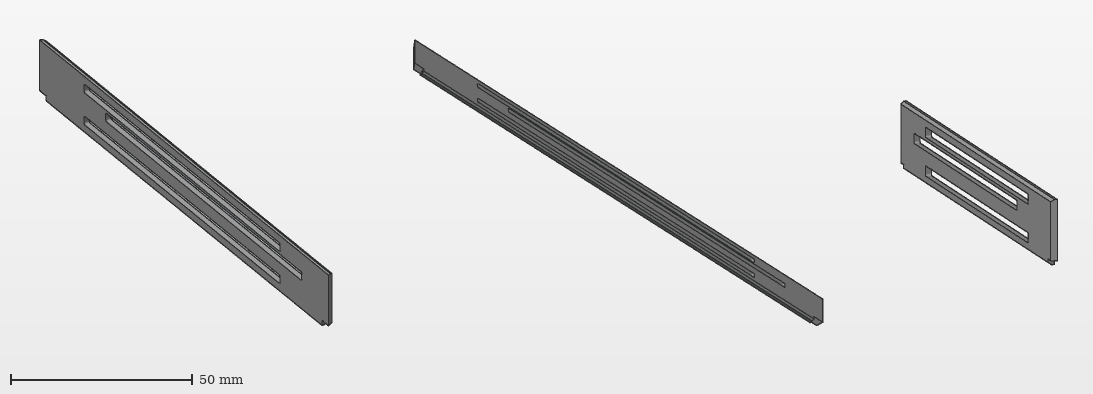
import cadquery as cq

length = 136.4
thickness = 1.8
height = 19.0

end_taper = 0.8
bevel_depth = 1.0
bevel_inset = 0.7

notch_length = 3.0
notch_height = 1.6

slot_length = 92.5
slot_height = 2.9
slot_corner_radius = 0.5
outer_slot_start = 21.0
middle_slot_start = 31.2
slot_places = [
    (outer_slot_start, 4.1),
    (middle_slot_start, 7.9),
    (outer_slot_start, 15.0),
]


def tapered_plate():
    """Overlap of the trapezoid seen in plan and the bevelled section seen from the end."""
    plan = [
        (0, 0),
        (length, 0),
        (length - end_taper, thickness),
        (end_taper, thickness),
    ]
    bevel_start = thickness - bevel_depth
    section = [
        (0, 0),
        (bevel_start, 0),
        (thickness, bevel_inset),
        (thickness, height - bevel_inset),
        (bevel_start, height),
        (0, height),
    ]
    plan_solid = cq.Workplane("XY").polyline(plan).close().extrude(height)
    section_solid = cq.Workplane("YZ").polyline(section).close().extrude(length)
    return plan_solid.intersect(section_solid)


def corner_notch(left):
    cutter = cq.Workplane("XY").box(notch_length, thickness, notch_height, centered=False)
    return cutter.translate((left, 0, 0))


def slot(left, depth_below_top):
    bottom = height - depth_below_top - slot_height / 2
    cutter = cq.Workplane("XY").box(slot_length, thickness, slot_height, centered=False)
    return cutter.edges("|Y").fillet(slot_corner_radius).translate((left, 0, bottom))


result = tapered_plate()
for notch_left in (0, length - notch_length):
    result = result.cut(corner_notch(notch_left))
for slot_left, slot_depth in slot_places:
    result = result.cut(slot(slot_left, slot_depth))

result = result.translate((-length / 2, -thickness / 2, -height / 2))